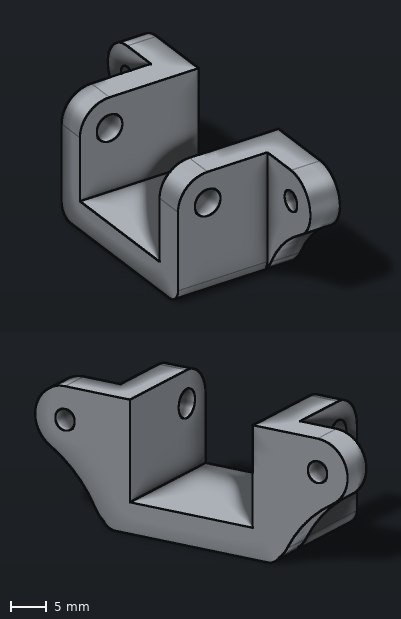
import cadquery as cq
import math

length = 52.0
depth = 20.0
height = 20.0

channel_width = 29.9
wall = 4.75
channel_corner_radius = 2.3
pivot_radius = 5.0
pivot_hole_diameter = 4.3

flange_thickness = 5.0
ear_radius = 5.0
ear_hole_diameter = 3.2
flange_corner_radius = 5.0
flange_corner_x = 11.5
flank_radius = 20.0

ear_x = length / 2 - ear_radius
ear_z = height - ear_radius
pivot_y = pivot_radius
pivot_z = height - pivot_radius


def flank_centre():
    """Centre of the concave flank arc, tangent to the right ear and the right bottom corner."""
    run = flange_corner_x - ear_x
    drop = flange_corner_radius - ear_z
    spacing = math.hypot(run, drop)
    to_ear = ear_radius + flank_radius
    to_corner = flange_corner_radius + flank_radius
    along = (spacing**2 + to_ear**2 - to_corner**2) / (2 * spacing)
    across = math.sqrt(to_ear**2 - along**2)
    x = ear_x + (along * run - across * drop) / spacing
    z = ear_z + (along * drop + across * run) / spacing
    return x, z


def toward(start, target, distance):
    """Point at a distance from start, on the line to target."""
    ratio = distance / math.dist(start, target)
    return tuple(s + ratio * (t - s) for s, t in zip(start, target))


def midpoint(first, second):
    return (first[0] + second[0]) / 2, (first[1] + second[1]) / 2


def mirrored(point):
    """Matching point on the opposite side of the middle plane."""
    return -point[0], point[1]


def make_flange():
    ear = (ear_x, ear_z)
    corner = (flange_corner_x, flange_corner_radius)
    flank = flank_centre()
    ear_end = toward(ear, flank, ear_radius)
    corner_end = toward(corner, flank, flange_corner_radius)
    flank_mid = toward(flank, midpoint(ear_end, corner_end), flank_radius)
    ear_tip = (length / 2, ear_z)
    corner_bottom = (flange_corner_x, 0)
    corner_mid = toward(corner, midpoint(corner_end, corner_bottom), flange_corner_radius)
    return (
        cq.Workplane("XZ", origin=(0, depth, 0))
        .moveTo(-ear_x, height)
        .lineTo(ear_x, height)
        .threePointArc(ear_tip, ear_end)
        .threePointArc(flank_mid, corner_end)
        .threePointArc(corner_mid, corner_bottom)
        .lineTo(-flange_corner_x, 0)
        .threePointArc(mirrored(corner_mid), mirrored(corner_end))
        .threePointArc(mirrored(flank_mid), mirrored(ear_end))
        .threePointArc(mirrored(ear_tip), (-ear_x, height))
        .close()
        .extrude(flange_thickness)
    )


def make_channel_body():
    """Solid block of the channel, with rounded lower edges and rounded front top edge."""
    return (
        cq.Workplane("XY")
        .box(channel_width, depth, height, centered=(True, False, False))
        .edges("|Y and <Z")
        .fillet(channel_corner_radius)
        .edges("|X and >Z and <Y")
        .fillet(pivot_radius)
    )


def make_channel_opening():
    return (
        cq.Workplane("XY", origin=(0, 0, wall))
        .box(channel_width - 2 * wall, depth, height, centered=(True, False, False))
    )


def make_ear_holes():
    return (
        cq.Workplane("XZ", origin=(0, depth, 0))
        .pushPoints([(-ear_x, ear_z), (ear_x, ear_z)])
        .circle(ear_hole_diameter / 2)
        .extrude(flange_thickness)
    )


def make_pivot_holes():
    """One straight bore through both channel walls."""
    return (
        cq.Workplane("YZ", origin=(-channel_width / 2, 0, 0))
        .center(pivot_y, pivot_z)
        .circle(pivot_hole_diameter / 2)
        .extrude(channel_width)
    )


body = make_channel_body().union(make_flange())
result = body.cut(make_channel_opening()).cut(make_ear_holes()).cut(make_pivot_holes())